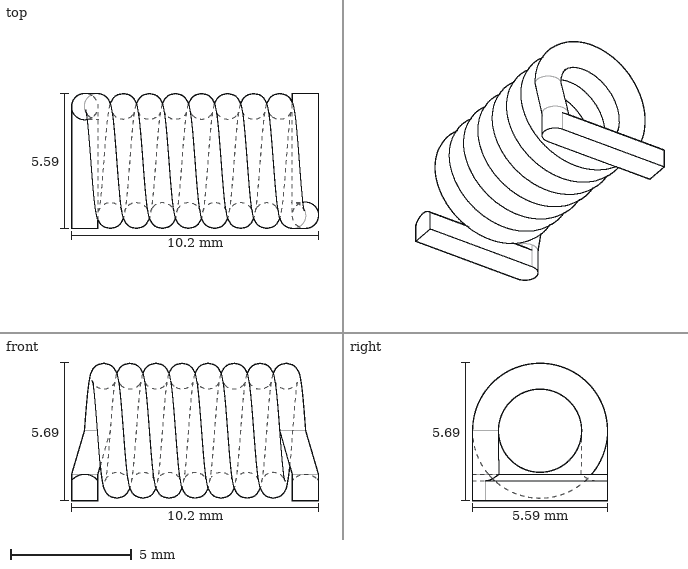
import cadquery as cq

length = 10.22
depth = 5.59
height = 5.69

lead_diameter = 1.09
coil_wire_diameter = 1.07
pitch = 1.078
turns = 7.5
foot_side_height = 0.83

coil_axis_z = height - depth / 2
coil_radius = (depth - coil_wire_diameter) / 2
coil_length = pitch * turns
coil_start_x = -coil_length / 2
lead_x = -(length - lead_diameter) / 2
lead_y = (depth - lead_diameter) / 2


def make_coil():
    """Helix around X, starting at +Y, rising over the top and ending at -Y."""
    path = cq.Wire.makeHelix(pitch, coil_length, coil_radius)
    coil = (
        cq.Workplane("XZ")
        .center(coil_radius, 0)
        .circle(coil_wire_diameter / 2)
        .sweep(cq.Workplane(obj=path), isFrenet=True)
    )
    axis_plane = cq.Plane(origin=(coil_start_x, 0, coil_axis_z), xDir=(0, 1, 0), normal=(1, 0, 0))
    return coil.val().moved(cq.Location(axis_plane))


def make_sloped_leg():
    """Inclined wire from the top of the upright to the coil's first end."""
    lower_center = cq.Vector(lead_x, lead_y, lead_diameter)
    upper_center = cq.Vector(coil_start_x, coil_radius, coil_axis_z)
    up = cq.Vector(0, 0, 1)
    lower = cq.Wire.makeCircle(lead_diameter / 2, lower_center, up)
    upper = cq.Wire.makeCircle(coil_wire_diameter / 2, upper_center, up)
    return cq.Solid.makeLoft([lower, upper], True)


def make_foot():
    """Flat-bottomed bar with an arched top, running from the upright to the -Y side."""
    half_width = lead_diameter / 2
    return (
        cq.Workplane("XZ", origin=(lead_x, lead_y, 0))
        .moveTo(-half_width, 0)
        .lineTo(half_width, 0)
        .lineTo(half_width, foot_side_height)
        .threePointArc((0, lead_diameter), (-half_width, foot_side_height))
        .close()
        .extrude(lead_y + depth / 2)
    )


def make_lead():
    """Upright, foot and sloped leg at the -X end."""
    upright = (
        cq.Workplane("XY", origin=(lead_x, lead_y, 0))
        .circle(lead_diameter / 2)
        .extrude(lead_diameter)
    )
    return upright.union(make_foot()).union(cq.Workplane(obj=make_sloped_leg()))


lead = make_lead()
opposite_lead = lead.rotate((0, 0, 0), (0, 0, 1), 180)
result = cq.Workplane(obj=make_coil()).union(lead).union(opposite_lead)